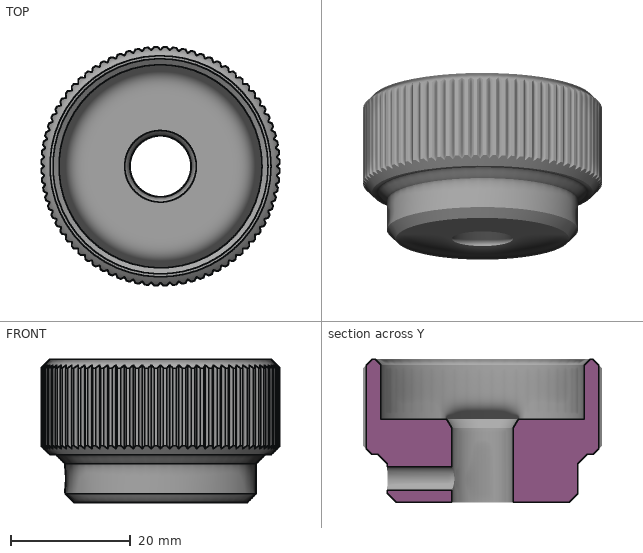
import cadquery as cq
import math

HEIGHT = 24.0
GRIP_RADIUS = 20.0
GRIP_BOTTOM_Z = 8.0
HUB_RADIUS = 16.0
EDGE_CHAMFER = 1.5

CUP_RADIUS = 17.0
CUP_DEPTH = 10.0
CUP_CHAMFER = 1.0
BORE_RADIUS = 5.1
COUNTERSINK_RADIUS = 6.0
COUNTERSINK_DEPTH = 1.5

SCREW_HOLE_RADIUS = 1.95
SCREW_HOLE_Z = 4.0

GROOVE_COUNT = 80
GROOVE_DEPTH = 0.5
GROOVE_ANGLE = 90.0
CUTTER_OVERHANG = 0.2


def revolved_body():
    """Grip, hub, stepped cup and bore as one revolved half-section (radius, height)."""
    rim_radius = GRIP_RADIUS - EDGE_CHAMFER
    cup_floor_z = HEIGHT - CUP_DEPTH
    section = [
        (BORE_RADIUS, 0),
        (HUB_RADIUS - EDGE_CHAMFER, 0),
        (HUB_RADIUS, EDGE_CHAMFER),
        (HUB_RADIUS, GRIP_BOTTOM_Z - EDGE_CHAMFER),
        (HUB_RADIUS + EDGE_CHAMFER, GRIP_BOTTOM_Z),
        (rim_radius, GRIP_BOTTOM_Z),
        (GRIP_RADIUS, GRIP_BOTTOM_Z + EDGE_CHAMFER),
        (GRIP_RADIUS, HEIGHT - EDGE_CHAMFER),
        (rim_radius, HEIGHT),
        (CUP_RADIUS + CUP_CHAMFER, HEIGHT),
        (CUP_RADIUS, HEIGHT - CUP_CHAMFER),
        (CUP_RADIUS, cup_floor_z),
        (COUNTERSINK_RADIUS, cup_floor_z),
        (BORE_RADIUS, cup_floor_z - COUNTERSINK_DEPTH),
    ]
    return cq.Workplane("XZ").polyline(section).close().revolve(360, (0, 0), (0, 1))


def knurl_cutters():
    """Triangular prisms around the grip, the first one on the +X axis."""
    outer_radius = GRIP_RADIUS + CUTTER_OVERHANG
    root_radius = GRIP_RADIUS - GROOVE_DEPTH
    half_width = (outer_radius - root_radius) * math.tan(math.radians(GROOVE_ANGLE / 2))
    cutter = (
        cq.Workplane("XY", origin=(0, 0, GRIP_BOTTOM_Z))
        .moveTo(root_radius, 0)
        .lineTo(outer_radius, half_width)
        .lineTo(outer_radius, -half_width)
        .close()
        .extrude(HEIGHT - GRIP_BOTTOM_Z)
        .val()
    )
    pitch_angle = 360.0 / GROOVE_COUNT
    cutters = []
    for index in range(GROOVE_COUNT):
        cutters.append(cutter.rotate((0, 0, 0), (0, 0, 1), index * pitch_angle))
    return cq.Workplane(cq.Compound.makeCompound(cutters))


def screw_hole():
    """Cylinder from the bore axis out through the -X side of the hub."""
    return (
        cq.Workplane("YZ")
        .center(0, SCREW_HOLE_Z)
        .circle(SCREW_HOLE_RADIUS)
        .extrude(-GRIP_RADIUS)
    )


result = revolved_body().cut(knurl_cutters()).cut(screw_hole())